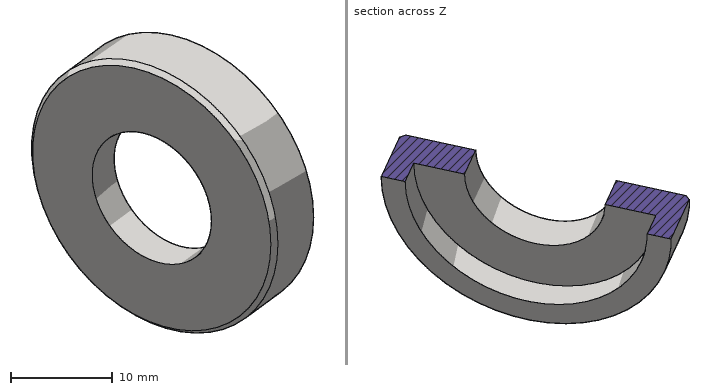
import cadquery as cq

outer_diameter = 30.0
bore_diameter = 14.5
thickness = 6.5
chamfer_size = 0.5
bore_length = 3.7
recess_wall = 2.5

recess_diameter = outer_diameter - 2 * recess_wall
recess_depth = thickness - bore_length


def make_ring():
    """Flat ring about the Y axis, with its front face at Y = 0 and its back face at Y = thickness."""
    return (
        cq.Workplane("XZ")
        .circle(outer_diameter / 2)
        .circle(bore_diameter / 2)
        .extrude(-thickness)
    )


def chamfer_front_rim(ring):
    """Chamfer the outer edge of the front (-Y) face; the bore edge stays sharp."""
    outer_edge = cq.selectors.RadiusNthSelector(-1)
    return ring.faces("<Y").edges(outer_edge).chamfer(chamfer_size)


def cut_back_recess(ring):
    """Sink a round recess into the back (+Y) face, concentric with the bore."""
    recess = (
        cq.Workplane("XZ", origin=(0, bore_length, 0))
        .circle(recess_diameter / 2)
        .extrude(-recess_depth)
    )
    return ring.cut(recess)


result = cut_back_recess(chamfer_front_rim(make_ring()))